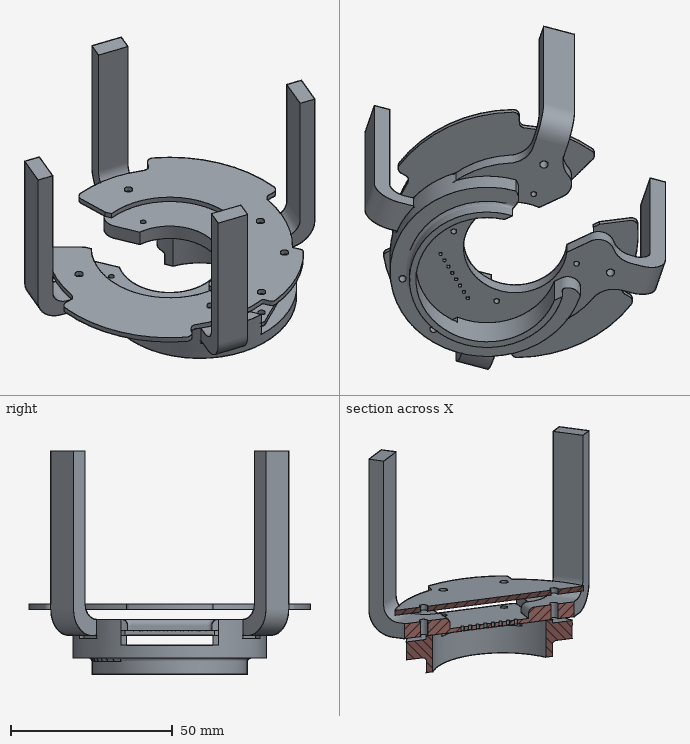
import cadquery as cq
import math

boss_height = 5.0
channel_floor = 9.0
arm_pocket_floor = 11.0
frame_bottom = 12.0
arm_thickness = 5.0
frame_top = frame_bottom + arm_thickness
plate_bottom = 20.0
plate_thickness = 1.75
arm_top = 69.0

arm_angles = (45, 135, 225, 315)
ring_radius = 30.0
bore_radius = 16.0
mouth_half_width = 9.0
arm_width = 10.0
arm_reach = 47.0
bend_outer_radius = 8.0
bend_inner_radius = 5.0
arm_root_fillet = 8.0
ring_tip_radius = 5.0

rim_start = 16.45
rim_half_width = 15.0
rim_fillet = 2.0
tray_start = rim_start + rim_fillet
tray_half_width = rim_half_width - rim_fillet
tray_corner_radius = 1.0
tongue_half_width = rim_half_width
tongue_end_x = 36.5
tray_floor_thickness = 1.5
tray_depth = arm_thickness - tray_floor_thickness
pin_count = 8
pin_pitch = 2.54
pin_row_x = 21.4
pin_hole_diameter = 1.0

arm_screw_offset = 21.75
arm_screw_diameter = 2.5
ring_screw_offset = 14.0
ring_screw_diameter = 1.7
tab_screw_x = 34.05
tab_screw_y = 10.15
tab_screw_diameter = 2.5
tab_thread_diameter = 2.2

housing_x = 9.85
flange_radius = 30.0
boss_radius = 24.0
boss_fillet = 1.0
housing_bore_radius = 22.0
housing_mouth_half_width = 16.25
flange_end_x = -11.5
flange_tip_fillet = 4.0
channel_start = 30.0
window_half_width = 13.35

plate_radius = 38.0
wing_radius = 43.5
wing_half_angle = 30.0
wing_fillet = 2.0
plate_bore_radius = 24.25
tab_end_x = 41.75
tab_radius = 35.0
tab_x = tab_end_x - tab_radius
tab_half_width = 13.35
tab_fillet = 1.5
tab_root_fillet = 0.3
lip_end_x = 17.4
lip_fillet = 1.6
mouth_flare_angle = 20.0
mouth_tip_fillet = 2.0


def cylinder(radius, bottom, top, x=0.0):
    return cq.Workplane("XY", origin=(x, 0, bottom)).circle(radius).extrude(top - bottom)


def block(x_start, x_end, half_width, bottom, top):
    base = cq.Workplane("XY", origin=((x_start + x_end) / 2, 0, bottom))
    return base.rect(x_end - x_start, 2 * half_width).extrude(top - bottom)


def drill(points, diameter, bottom, top):
    base = cq.Workplane("XY", origin=(0, 0, bottom))
    return base.pushPoints(points).circle(diameter / 2).extrude(top - bottom)


def square_points(offset):
    return [(x, y) for x in (-offset, offset) for y in (-offset, offset)]


def fillet_corners(body, corners, radius):
    """Round the vertical edges that stand at the given XY corners."""
    tolerance = 0.01

    def at_corner(edge):
        center = edge.Center()
        return any(math.dist((center.x, center.y), corner) < tolerance for corner in corners)

    return body.edges("|Z").filter(at_corner).fillet(radius)


def polar(radius, degrees):
    angle = math.radians(degrees)
    return (radius * math.cos(angle), radius * math.sin(angle))


def arm_roots():
    """Corners where the sides of the arms leave the ring."""
    half_angle = math.degrees(math.asin(arm_width / 2 / ring_radius))
    return [polar(ring_radius, angle + side * half_angle) for angle in arm_angles for side in (-1, 1)]


def frame_outline(bottom, top):
    """Full ring with four filleted arm bases, ending where the arms bend upwards."""
    outline = cylinder(ring_radius, bottom, top)
    for angle in arm_angles:
        base = block(0, arm_reach - bend_outer_radius, arm_width / 2, bottom, top)
        outline = outline.union(base.rotate((0, 0, 0), (0, 0, 1), angle))
    return fillet_corners(outline, arm_roots(), arm_root_fillet)


def arm_upright(angle):
    """Bend and upright part of one arm, turned to its angle."""
    bend_start = arm_reach - bend_outer_radius
    inner_face = arm_reach - arm_thickness
    profile = (
        cq.Workplane("XZ", origin=(0, arm_width / 2, 0))
        .moveTo(bend_start, frame_bottom)
        .radiusArc((arm_reach, frame_bottom + bend_outer_radius), -bend_outer_radius)
        .lineTo(arm_reach, arm_top)
        .lineTo(inner_face, arm_top)
        .lineTo(inner_face, frame_top + bend_inner_radius)
        .radiusArc((inner_face - bend_inner_radius, frame_top), bend_inner_radius)
        .lineTo(bend_start, frame_top)
        .close()
    )
    return profile.extrude(arm_width).rotate((0, 0, 0), (0, 0, 1), angle)


def round_ring_tips(frame):
    """Replace each ring end by an arc tangent to the mouth and to the nearby arm fillet."""
    along = math.sqrt((ring_radius + arm_root_fillet) ** 2 - (arm_width / 2 + arm_root_fillet) ** 2)
    across = arm_width / 2 + arm_root_fillet
    fillet_x = -(along + across) / math.sqrt(2)
    fillet_y = (along - across) / math.sqrt(2)
    tip_y = mouth_half_width + ring_tip_radius
    tip_x = fillet_x + math.sqrt((arm_root_fillet + ring_tip_radius) ** 2 - (fillet_y - tip_y) ** 2)
    for side in (-1, 1):
        waste = [(tip_x, 0), (tip_x, side * tip_y), (fillet_x, side * fillet_y), (fillet_x, 0)]
        base = cq.Workplane("XY", origin=(0, 0, frame_bottom))
        frame = frame.cut(base.polyline(waste).close().extrude(arm_thickness))
        tip = base.center(tip_x, side * tip_y).circle(ring_tip_radius).extrude(arm_thickness)
        frame = frame.union(tip)
    return frame


def cut_tray(frame):
    """Recess open on the +X side of the ring, with its upper rim rounded over."""
    pocket = block(tray_start, arm_reach, tray_half_width, frame_top - tray_depth, frame_top)
    frame = frame.cut(pocket.edges("|Z and <X").fillet(tray_corner_radius))
    margin = 0.1
    rim = cq.selectors.BoxSelector(
        (tray_start - margin, -tray_half_width - margin, frame_top - margin),
        (ring_radius, tray_half_width + margin, frame_top + margin),
    )
    return frame.edges(rim).fillet(rim_fillet)


def make_frame():
    frame = frame_outline(frame_bottom, frame_top)
    frame = frame.cut(block(-arm_reach, 0, mouth_half_width, frame_bottom, frame_top))
    frame = round_ring_tips(frame)
    frame = cut_tray(frame)
    for angle in arm_angles:
        frame = frame.union(arm_upright(angle))

    tongue_top = frame_bottom + tray_floor_thickness
    tongue = block(pin_row_x, tongue_end_x, tongue_half_width, frame_bottom, tongue_top)
    frame = frame.union(tongue.intersect(cylinder(flange_radius, frame_bottom, tongue_top, housing_x)))

    frame = frame.cut(cylinder(bore_radius, frame_bottom, frame_top))
    pins = [(pin_row_x, (i - (pin_count - 1) / 2) * pin_pitch) for i in range(pin_count)]
    tab_screws = [(tab_screw_x, -tab_screw_y), (tab_screw_x, tab_screw_y)]
    for points, diameter in (
        (square_points(arm_screw_offset), arm_screw_diameter),
        (square_points(ring_screw_offset), ring_screw_diameter),
        (pins, pin_hole_diameter),
        (tab_screws, tab_thread_diameter),
    ):
        frame = frame.cut(drill(points, diameter, frame_bottom, frame_top))
    return frame


def make_housing():
    flange = cylinder(flange_radius, boss_height, frame_top, housing_x)
    boss = cylinder(boss_radius, 0, boss_height, housing_x)
    housing = boss.union(flange)
    root = cq.selectors.RadiusNthSelector(0)
    housing = housing.faces(cq.selectors.BoxSelector(
        (-flange_radius, -flange_radius, boss_height - 0.1),
        (housing_x + flange_radius, flange_radius, boss_height + 0.1),
    )).edges(root).fillet(boss_fillet)

    housing = housing.cut(frame_outline(frame_bottom, frame_top))
    arm_pockets = frame_outline(arm_pocket_floor, frame_bottom)
    arm_pockets = arm_pockets.cut(cylinder(ring_radius, arm_pocket_floor, frame_bottom))
    solid_middle = block(0, arm_reach, housing_mouth_half_width, arm_pocket_floor, frame_bottom)
    arm_pockets = arm_pockets.cut(solid_middle)
    housing = housing.cut(arm_pockets)

    housing = housing.cut(cylinder(housing_bore_radius, 0, frame_top, housing_x))
    housing = housing.cut(block(-flange_radius, housing_x, housing_mouth_half_width, 0, frame_top))
    housing = housing.cut(block(-flange_radius, flange_end_x, flange_radius, 0, frame_top))
    ends = [(flange_end_x, side * housing_mouth_half_width) for side in (-1, 1)]
    housing = fillet_corners(housing, ends, flange_tip_fillet)

    housing_end = housing_x + flange_radius
    housing = housing.cut(block(channel_start, housing_end, tongue_half_width, channel_floor, frame_bottom))
    housing = housing.cut(block(housing_x, housing_end, window_half_width, channel_floor, frame_bottom))
    housing = housing.cut(block(housing_x, housing_end, tongue_half_width, frame_bottom, frame_top))

    tab_screws = [(tab_screw_x, -tab_screw_y), (tab_screw_x, tab_screw_y)]
    return housing.cut(drill(tab_screws, tab_thread_diameter, 0, frame_bottom))


def plate_wing(direction):
    """Sector of the larger plate radius, pointing to the given direction."""
    first = polar(wing_radius, direction - wing_half_angle)
    middle = polar(wing_radius, direction)
    last = polar(wing_radius, direction + wing_half_angle)
    base = cq.Workplane("XY", origin=(0, 0, plate_bottom))
    return base.lineTo(*first).threePointArc(middle, last).close().extrude(plate_thickness)


def make_plate():
    plate_top = plate_bottom + plate_thickness
    plate = cylinder(plate_radius, plate_bottom, plate_top)
    wing_corners = []
    for direction in (90, 270):
        plate = plate.union(plate_wing(direction))
        for side in (-1, 1):
            edge_angle = direction + side * wing_half_angle
            wing_corners += [polar(wing_radius, edge_angle), polar(plate_radius, edge_angle)]
    plate = fillet_corners(plate, wing_corners, wing_fillet)

    tab = block(0, wing_radius, tab_half_width, plate_bottom, plate_top)
    plate = plate.union(tab.intersect(cylinder(tab_radius, plate_bottom, plate_top, tab_x)))
    tip_x = tab_x + math.sqrt(tab_radius**2 - tab_half_width**2)
    root_x = math.sqrt(plate_radius**2 - tab_half_width**2)
    plate = fillet_corners(plate, [(tip_x, -tab_half_width), (tip_x, tab_half_width)], tab_fillet)
    plate = fillet_corners(plate, [(root_x, -tab_half_width), (root_x, tab_half_width)], tab_root_fillet)

    lip = block(lip_end_x, plate_radius, tab_half_width, plate_bottom, plate_top)
    lip = lip.edges("|Z and <X").fillet(lip_fillet)
    plate = plate.cut(cylinder(plate_bore_radius, plate_bottom, plate_top).cut(lip))

    flare = math.tan(math.radians(mouth_flare_angle))
    throat_x = -mouth_half_width / flare
    mouth = [
        (0, -mouth_half_width),
        (0, mouth_half_width),
        (throat_x, mouth_half_width),
        (-wing_radius, wing_radius * flare),
        (-wing_radius, -wing_radius * flare),
        (throat_x, -mouth_half_width),
    ]
    base = cq.Workplane("XY", origin=(0, 0, plate_bottom))
    plate = plate.cut(base.polyline(mouth).close().extrude(plate_thickness))
    mouth_tips = [polar(plate_radius, 180 + side * mouth_flare_angle) for side in (-1, 1)]
    plate = fillet_corners(plate, mouth_tips, mouth_tip_fillet)

    tab_screws = [(tab_screw_x, -tab_screw_y), (tab_screw_x, tab_screw_y)]
    plate = plate.cut(drill(square_points(arm_screw_offset), arm_screw_diameter, plate_bottom, plate_top))
    return plate.cut(drill(tab_screws, tab_screw_diameter, plate_bottom, plate_top))


frame = make_frame().solids()
housing = make_housing().solids()
plate = make_plate().solids()

result = cq.Compound.makeCompound([frame.val(), housing.val(), plate.val()])